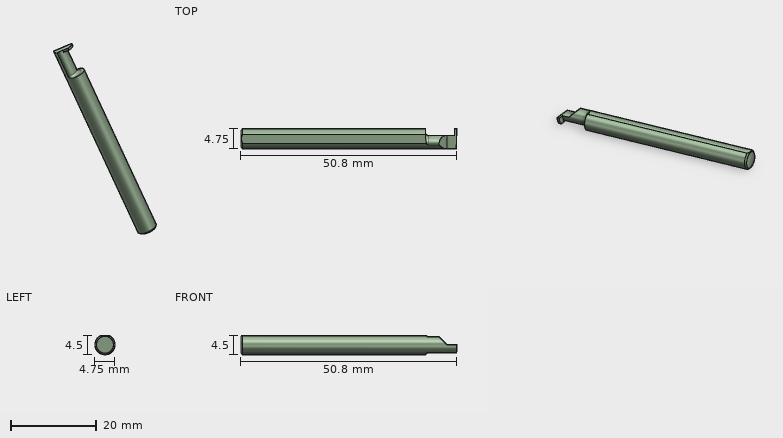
import cadquery as cq
import math

overall_length = 50.8
shank_diameter = 4.75
shank_radius = shank_diameter / 2
height_over_flat = 4.5
flat_z = height_over_flat - shank_radius
rear_chamfer = 0.38

shank_length = 43.42
neck_radius = 1.89
neck_side_y = 0.8
neck_center_y = neck_side_y - neck_radius
neck_fillet = 0.7

rake_start_x = 48.5
ramp_angle = 45

tip_width = 0.62
tip_back_x = overall_length - tip_width
side_relief_angle = 1.5
front_relief_angle = 1

margin = 2 * shank_diameter
selection_gap = 0.01


def make_bar():
    bar = cq.Workplane("YZ").circle(shank_radius).extrude(overall_length)
    bar = bar.faces("<X").chamfer(rear_chamfer)
    above_flat = cq.Workplane("XY").box(
        overall_length, shank_diameter, shank_diameter, centered=(False, True, False)
    )
    return bar.cut(above_flat.translate((0, 0, flat_z)))


def make_neck_envelope():
    """Block around the shank with the neck blending out of its front face."""
    block = cq.Workplane("YZ").rect(2 * margin, 2 * margin).extrude(shank_length)
    neck = (
        cq.Workplane("YZ", origin=(shank_length, 0, 0))
        .moveTo(-margin, -neck_radius)
        .lineTo(neck_center_y, -neck_radius)
        .threePointArc((neck_side_y, 0), (neck_center_y, neck_radius))
        .lineTo(-margin, neck_radius)
        .close()
        .extrude(overall_length - shank_length)
    )
    root = cq.selectors.BoxSelector(
        (shank_length - selection_gap, -margin, -neck_radius - selection_gap),
        (shank_length + selection_gap, neck_side_y + selection_gap, neck_radius + selection_gap),
    )
    return block.union(neck).edges(root).fillet(neck_fillet)


def make_tip():
    return cq.Workplane("XY").box(
        tip_width, shank_radius, neck_radius, centered=False
    ).translate((tip_back_x, 0, -neck_radius))


def make_rake_cut():
    ramp_run = shank_radius / math.tan(math.radians(ramp_angle))
    return (
        cq.Workplane("XZ")
        .moveTo(rake_start_x, 0)
        .lineTo(overall_length, 0)
        .lineTo(overall_length, shank_radius)
        .lineTo(rake_start_x - ramp_run, shank_radius)
        .close()
        .extrude(shank_radius, both=True)
    )


def make_front_relief():
    """Wedge tilting the front face back from the cutting corner, toward -Y and -Z."""
    cutter = cq.Workplane("XY").box(margin, 2 * margin, 2 * margin, centered=(False, True, True))
    cutter = cutter.rotate((0, 0, 0), (0, 0, 1), -side_relief_angle)
    cutter = cutter.rotate((0, 0, 0), (0, 1, 0), front_relief_angle)
    return cutter.translate((overall_length, shank_radius, 0))


envelope = make_neck_envelope().union(make_tip())
result = make_bar().intersect(envelope).cut(make_rake_cut()).cut(make_front_relief())